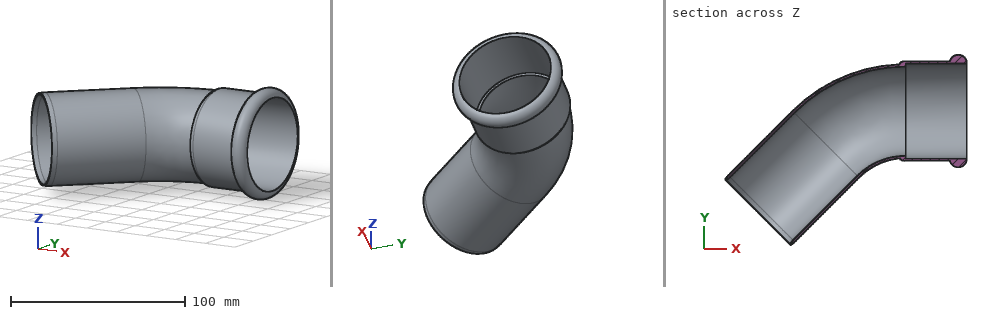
import cadquery as cq
import math

pipe_diameter = 54.0
wall = 1.46
bend_angle = 45.0
bend_radius = 64.8
spigot_length = 55.1

rim_bevel_length = 2.9
rim_bevel_depth = 0.3

socket_diameter = 57.5
socket_bore = 54.5
socket_depth = 35.1
socket_length = 39.0
shoulder_radius = 3.0

bead_diameter = 64.8
bead_width = 10.0

pipe_radius = pipe_diameter / 2
bore_radius = pipe_radius - wall
bead_round = bead_width / 2

bend_start = cq.Workplane("YZ")
bend_turn = math.radians(bend_angle)
bend_end = (
    -bend_radius * math.sin(bend_turn),
    -bend_radius * (1 - math.cos(bend_turn)),
    0,
)
spigot_direction = (-math.cos(bend_turn), -math.sin(bend_turn), 0)
spigot_start = cq.Workplane(cq.Plane(origin=bend_end, xDir=(0, 0, 1), normal=spigot_direction))


def elbow(radius):
    """Solid round bar following the bend about a vertical axis on the -Y side."""
    return bend_start.circle(radius).revolve(
        bend_angle, (-bend_radius, 0, 0), (-bend_radius, 1, 0)
    )


def spigot(radius, rim_radius):
    """Solid round bar leaving the bend, tapering to rim_radius at its free end."""
    straight_length = spigot_length - rim_bevel_length
    straight = spigot_start.circle(radius).extrude(straight_length)
    rim = (
        spigot_start.workplane(offset=straight_length)
        .circle(radius)
        .workplane(offset=rim_bevel_length)
        .circle(rim_radius)
        .loft(ruled=True)
    )
    return straight.union(rim)


def socket_body():
    """Solid socket with a rounded shoulder at the bend and a bead at the mouth."""
    barrel = (
        cq.Workplane("YZ", origin=(socket_depth - socket_length, 0, 0))
        .circle(socket_diameter / 2)
        .extrude(socket_length - bead_round)
        .faces("<X")
        .edges()
        .fillet(shoulder_radius)
    )
    bead_centre_x = socket_depth - bead_round
    bead_centre_y = bead_diameter / 2 - bead_round
    bead = (
        cq.Workplane("XY")
        .moveTo(bead_centre_x - bead_round, 0)
        .lineTo(bead_centre_x - bead_round, bead_centre_y)
        .threePointArc((bead_centre_x, bead_diameter / 2), (socket_depth, bead_centre_y))
        .lineTo(socket_depth, 0)
        .close()
        .revolve(360, (0, 0, 0), (1, 0, 0))
    )
    return barrel.union(bead)


outside = (
    elbow(pipe_radius)
    .union(spigot(pipe_radius, pipe_radius - rim_bevel_depth))
    .union(socket_body())
)
pipe_bore = elbow(bore_radius).union(spigot(bore_radius, bore_radius + rim_bevel_depth))
socket_hole = bend_start.circle(socket_bore / 2).extrude(socket_depth)

result = outside.cut(pipe_bore).cut(socket_hole)